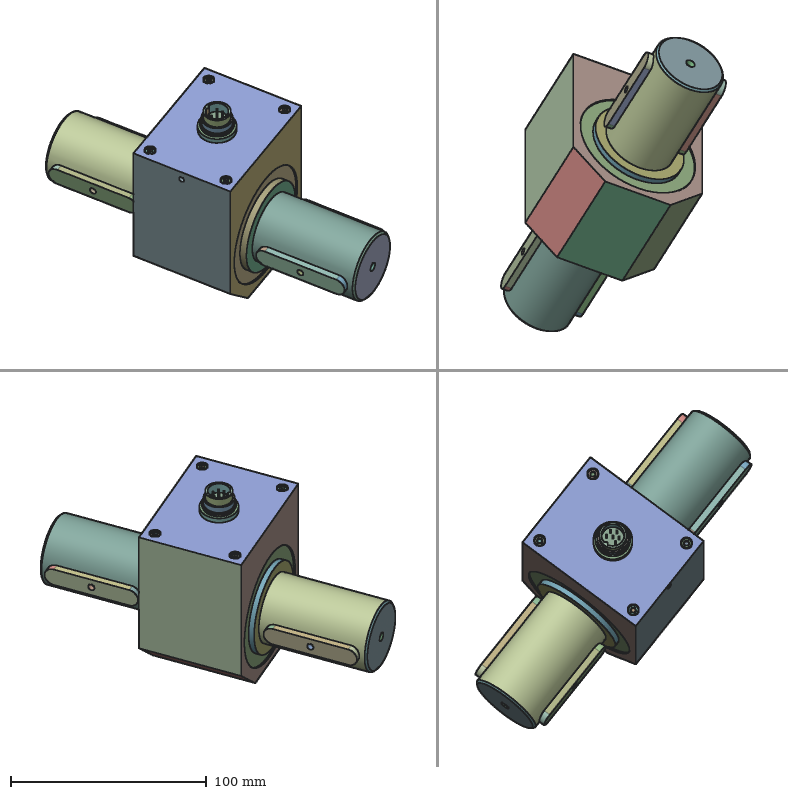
import cadquery as cq
import math

shaft_length = 182.0
shaft_diameter = 38.0
shaft_chamfer = 1.1
collar_diameter = 50.0
collar_span = 62.0
center_drill_mouth = 4.7
center_drill_diameter = 2.0
center_drill_depth = 4.5

key_length = 52.0
key_width = 10.0
key_end_gap = 4.0
key_span = 44.0
key_hole_diameter = 3.5
key_hole_depth = 3.6

housing_length = 57.0
housing_width = 73.0
housing_center_x = -0.4
housing_height = 90.0
housing_bottom = -housing_width / 2
housing_top = housing_bottom + housing_height
bottom_chamfer_width = 18.0
bottom_chamfer_height = 17.8
recess_diameter = 65.0
recess_depth = 1.0
side_hole_diameter = 3.0
side_hole_drop = 5.1
side_hole_depth = 3.0
drill_point_angle = 118

screw_inset_x = 6.2
screw_inset_y = 6.4
counterbore_diameter = 5.8
counterbore_depth = 1.0
head_diameter = 5.1
head_sink = 0.4
socket_corners = 3.0
socket_depth = 1.5

connector_x = -0.5
connector_steps = [(20.0, 2.7), (16.7, 1.5), (17.8, 0.7), (16.0, 3.5), (14.0, 4.5)]
connector_height = sum(height for diameter, height in connector_steps)
connector_top = housing_top + connector_height
bore_diameter = 11.6
bore_depth = 5.8
polarizing_rib_diameter = 2.0
pin_diameter = 0.76
pin_height = 4.0
pin_circle_radius = 3.3
pin_pitch_angle = 60


def cylinder_x(diameter, x_start, x_end):
    return cq.Workplane("YZ", origin=(x_start, 0, 0)).circle(diameter / 2).extrude(x_end - x_start)


def cylinder_z(diameter, x, y, z_start, z_end):
    return cq.Workplane("XY", origin=(x, y, z_start)).circle(diameter / 2).extrude(z_end - z_start)


def pointed_hole_cutter(radius, depth):
    """Blind hole from the origin down along -Z, ending in a drill point below the full depth."""
    point_height = radius / math.tan(math.radians(drill_point_angle / 2))
    return (
        cq.Workplane("XZ")
        .lineTo(radius, 0)
        .lineTo(radius, -depth)
        .lineTo(0, -depth - point_height)
        .close()
        .revolve(360, (0, 0, 0), (0, 1, 0))
    )


def make_housing():
    half_width = housing_width / 2
    flat_half_width = half_width - bottom_chamfer_width
    chamfer_top = housing_bottom + bottom_chamfer_height
    housing = (
        cq.Workplane("YZ", origin=(housing_center_x, 0, 0))
        .moveTo(-half_width, housing_top)
        .lineTo(half_width, housing_top)
        .lineTo(half_width, chamfer_top)
        .lineTo(flat_half_width, housing_bottom)
        .lineTo(-flat_half_width, housing_bottom)
        .lineTo(-half_width, chamfer_top)
        .close()
        .extrude(housing_length / 2, both=True)
    )
    left_face = housing_center_x - housing_length / 2
    right_face = housing_center_x + housing_length / 2
    housing = housing.cut(cylinder_x(recess_diameter, left_face, left_face + recess_depth))
    housing = housing.cut(cylinder_x(recess_diameter, right_face - recess_depth, right_face))
    side_hole = pointed_hole_cutter(side_hole_diameter / 2, side_hole_depth)
    side_hole = side_hole.rotate((0, 0, 0), (1, 0, 0), 90)
    return housing.cut(side_hole.translate((connector_x, -half_width, housing_top - side_hole_drop)))


def make_center_drill():
    """Countersunk drilling in the end face at -X, as a revolved cutter."""
    mouth_radius = center_drill_mouth / 2
    drill_radius = center_drill_diameter / 2
    cone_depth = (mouth_radius - drill_radius) / math.tan(math.radians(30))
    end = -shaft_length / 2
    return (
        cq.Workplane("XY")
        .moveTo(end, 0)
        .lineTo(end, mouth_radius)
        .lineTo(end + cone_depth, drill_radius)
        .lineTo(end + center_drill_depth, drill_radius)
        .lineTo(end + center_drill_depth, 0)
        .close()
        .revolve(360, (0, 0, 0), (1, 0, 0))
    )


def make_shaft():
    half_length = shaft_length / 2
    shaft = cylinder_x(shaft_diameter, -half_length, half_length).edges().chamfer(shaft_chamfer)
    shaft = shaft.union(cylinder_x(collar_diameter, -collar_span / 2, collar_span / 2))
    drill = make_center_drill()
    shaft = shaft.cut(drill).cut(drill.mirror("YZ"))

    key_x = half_length - key_end_gap - key_length / 2
    key_places = [(-key_x, 0), (key_x, 0)]
    keys = (
        cq.Workplane("XZ")
        .pushPoints(key_places)
        .slot2D(key_length, key_width)
        .extrude(key_span / 2, both=True)
    )
    shaft = shaft.union(keys)
    key_hole_rows = (
        cq.Workplane("XZ", origin=(0, -key_span / 2, 0))
        .pushPoints(key_places)
        .circle(key_hole_diameter / 2)
        .extrude(-key_hole_depth)
    )
    return shaft.cut(key_hole_rows).cut(key_hole_rows.mirror("XZ"))


def add_lid_screws(body):
    counterbore_floor = housing_top - counterbore_depth
    head_top = housing_top - head_sink
    for side_x in (-1, 1):
        for side_y in (-1, 1):
            x = housing_center_x + side_x * (housing_length / 2 - screw_inset_x)
            y = side_y * (housing_width / 2 - screw_inset_y)
            body = body.cut(cylinder_z(counterbore_diameter, x, y, counterbore_floor, housing_top))
            body = body.union(cylinder_z(head_diameter, x, y, counterbore_floor, head_top))
            socket = (
                cq.Workplane("XY", origin=(x, y, head_top))
                .polygon(6, socket_corners)
                .extrude(-socket_depth)
            )
            socket_point = pointed_hole_cutter(socket_corners * math.cos(math.pi / 6) / 2, socket_depth)
            body = body.cut(socket).cut(socket_point.translate((x, y, head_top)))
    return body


def add_connector(body):
    level = housing_top
    for diameter, height in connector_steps:
        body = body.union(cylinder_z(diameter, connector_x, 0, level, level + height))
        level += height

    bore_floor = connector_top - bore_depth
    bore = cylinder_z(bore_diameter, connector_x, 0, bore_floor, connector_top)
    rib_x = connector_x - bore_diameter / 2
    bore = bore.cut(cylinder_z(polarizing_rib_diameter, rib_x, 0, bore_floor, connector_top))
    body = body.cut(bore)

    pin_places = [(connector_x, 0)]
    for step in range(-2, 3):
        angle = math.radians(step * pin_pitch_angle)
        x = connector_x + pin_circle_radius * math.cos(angle)
        y = pin_circle_radius * math.sin(angle)
        pin_places.append((x, y))
    for x, y in pin_places:
        body = body.union(cylinder_z(pin_diameter, x, y, bore_floor, bore_floor + pin_height))
    return body


result = make_housing().union(make_shaft())
result = add_lid_screws(result)
result = add_connector(result)